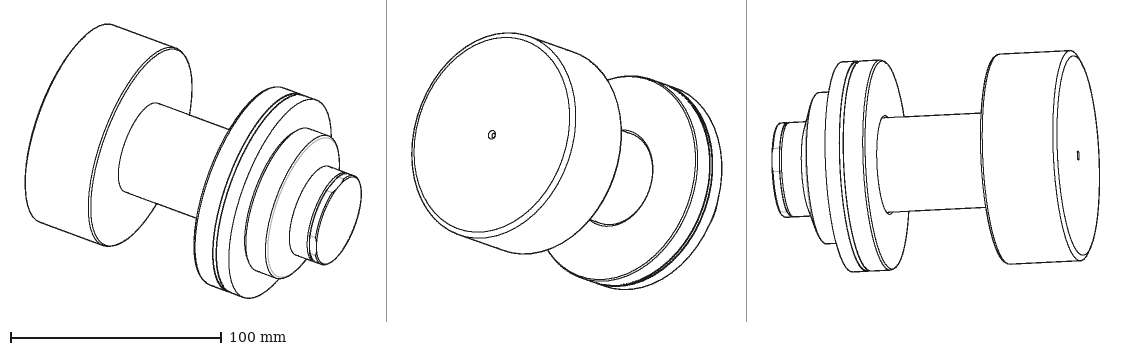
import cadquery as cq

total_length = 144
outer_radius = 50.0
shaft_radius = 22.5

head_length = 36.7
front_chamfer_length = 1.5
front_chamfer_depth = 2.6
rim_chamfer_length = 1.0
rim_chamfer_depth = 0.6

flange_start = 92.7
bore_chamfer = 1.0
groove_start = 103.2
groove_end = 105.1
groove_depth = 0.5
flange_end = 112.0

hub_radius = 36.0
hub_chamfer = 1.5
cone_start = 124.1
hub_edge_length = 0.7
hub_edge_depth = 1.0
cone_end = 129.6

shoulder_start = 139.2
shoulder_end = 140.3
shoulder_depth = 0.5
flats_across = 43.5
end_chamfer = 0.6

centre_hole_radius = 2.09
centre_bore_radius = 1.2
countersink_depth = 1.6
centre_bore_end = 4.3
centre_tip_end = 5.0


def revolve_profile(points):
    """Turn a closed (x, radius) outline about the X axis."""
    return cq.Workplane("XY").polyline(points).close().revolve(360, (0, 0, 0), (1, 0, 0))


def make_centre_hole():
    """Countersunk centre hole with a conical bottom."""
    return revolve_profile([
        (0, 0),
        (0, centre_hole_radius),
        (countersink_depth, centre_bore_radius),
        (centre_bore_end, centre_bore_radius),
        (centre_tip_end, 0),
    ])


def make_square_end_cutter():
    """Material outside the four flats on the shaft end."""
    length = total_length - shoulder_end
    centre = (shoulder_end + length / 2, 0, 0)
    blank = cq.Workplane("XY").box(length, 2 * outer_radius, 2 * outer_radius).translate(centre)
    core = cq.Workplane("XY").box(length, flats_across, flats_across).translate(centre)
    return blank.cut(core)


def make_spindle():
    """Head and shaft, with the centre hole and the end flats."""
    rim_radius = outer_radius - rim_chamfer_depth
    spindle = revolve_profile([
        (0, 0),
        (0, outer_radius - front_chamfer_depth),
        (front_chamfer_length, outer_radius),
        (head_length - rim_chamfer_length, outer_radius),
        (head_length, rim_radius),
        (head_length, shaft_radius),
        (shoulder_start, shaft_radius),
        (shoulder_end, shaft_radius - shoulder_depth),
        (shoulder_end, shaft_radius),
        (total_length - end_chamfer, shaft_radius),
        (total_length, shaft_radius - end_chamfer),
        (total_length, 0),
    ])
    return spindle.cut(make_centre_hole()).cut(make_square_end_cutter())


def make_collar():
    """Grooved flange, hub and cone, bored to fit the shaft."""
    groove_radius = outer_radius - groove_depth
    return revolve_profile([
        (flange_start + bore_chamfer, shaft_radius),
        (flange_start, shaft_radius + bore_chamfer),
        (flange_start, outer_radius - rim_chamfer_depth),
        (flange_start + rim_chamfer_length, outer_radius),
        (groove_start, outer_radius),
        (groove_start, groove_radius),
        (groove_end, groove_radius),
        (groove_end, outer_radius),
        (flange_end, outer_radius),
        (flange_end, hub_radius - hub_chamfer),
        (flange_end + hub_chamfer, hub_radius),
        (cone_start, hub_radius),
        (cone_start + hub_edge_length, hub_radius - hub_edge_depth),
        (cone_end, shaft_radius),
    ])


spindle = make_spindle()
collar = make_collar()

result = cq.Compound.makeCompound([spindle.val(), collar.val()])